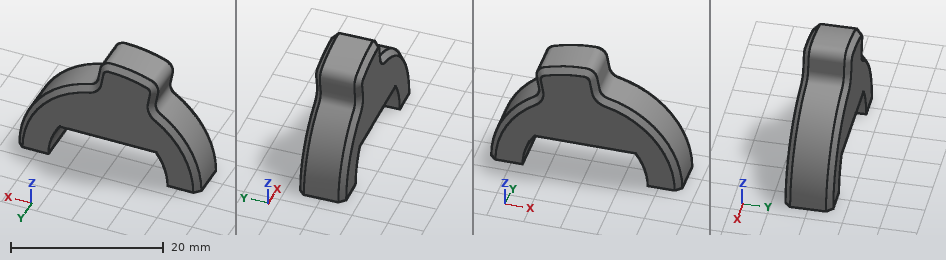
import cadquery as cq

outer_radius = 13.0
inner_radius = 8.5
tab_radius = 17.0
tab_width = 8.37
tab_tilt = 10.2
flat_height = 5.02
depth = 6.4
tab_fillet = 1.55
chamfer = 0.8

margin = 2.6
front_y = -depth / 2
back_y = depth / 2


def cylinder_along_y(radius):
    """Disc centred on the Y axis, spanning the full depth."""
    return cq.Workplane("XZ", origin=(0, back_y, 0)).circle(radius).extrude(depth)


def box_above_base(width, height):
    """Block standing on the base plane, spanning the full depth."""
    return cq.Workplane("XY").box(width, depth, height, centered=(True, True, False))


def make_outer_body():
    """Half disc with the tilted, rounded tab."""
    tab = box_above_base(tab_width, tab_radius + margin)
    tab = tab.intersect(cylinder_along_y(tab_radius))
    tab = tab.rotate((0, 0, 0), (0, 1, 0), -tab_tilt)
    disc = cylinder_along_y(outer_radius)
    upper_half = box_above_base(2 * tab_radius, tab_radius + margin)
    body = disc.union(tab).intersect(upper_half)

    above_base = cq.selectors.BoxSelector(
        (-tab_radius, front_y, margin), (tab_radius, back_y, tab_radius + margin)
    )
    return body.edges("|Y").edges(above_base).fillet(tab_fillet)


def chamfer_outline(body):
    """Bevel the outer outline on both end faces, leaving the base edges sharp."""
    return body.faces("<Y or >Y").edges("not <Z").chamfer(chamfer)


def make_opening():
    """Circular bore with its top cut flat by the web."""
    return cylinder_along_y(inner_radius).intersect(box_above_base(2 * inner_radius, flat_height))


result = chamfer_outline(make_outer_body()).cut(make_opening())